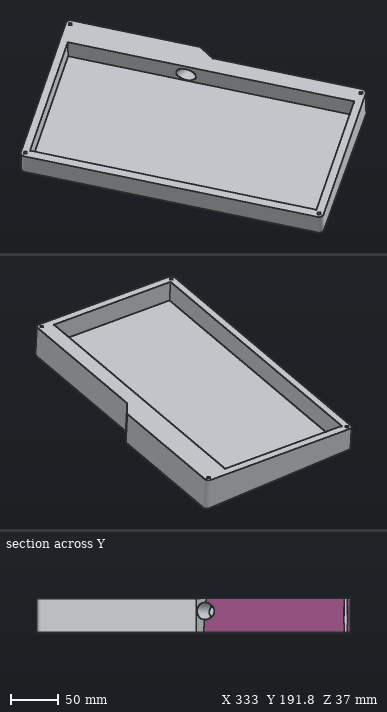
import cadquery as cq
import math

length = 333.0
overall_depth = 191.8
back_height = 37.0
tilt = 3.0

slope = math.radians(tilt)
face_depth = (overall_depth - back_height * math.tan(slope)) / math.cos(slope)
front_height = back_height - face_depth * math.sin(slope)
step_depth = 11.3
step_start = 147.0
step_end = 163.5
corner_radius = 5.0

rim = 9.0
pocket_width = 151.5
pocket_depth = 24.0

screw_diameter = 3.3
screw_inset = 5.0
back_screw_inset = 5.3
cable_diameter = 18.0
cable_depth = 13.5

top_plane = cq.Plane(
    origin=(0, 0, front_height),
    xDir=(1, 0, 0),
    normal=(0, -math.sin(slope), math.cos(slope)),
)
cut_length = 2 * back_height


def make_body():
    """Extrude the stepped outline square to the top face, then trim it flat at Z = 0."""
    shoulder = face_depth - step_depth
    outline = [
        (0, 0),
        (length, 0),
        (length, shoulder),
        (step_end, shoulder),
        (step_start, face_depth),
        (0, face_depth),
    ]
    upright_edges = cq.selectors.ParallelDirSelector(top_plane.zDir)
    block = cq.Workplane(top_plane).polyline(outline).close().extrude(-cut_length)
    for side in ("<X", ">X"):
        block = block.faces(side).edges(upright_edges).fillet(corner_radius)
    above_base = cq.Workplane("XY").rect(4 * length, 4 * length).extrude(2 * back_height)
    return block.intersect(above_base)


def make_pocket():
    pocket = cq.Workplane(top_plane).moveTo(rim, rim)
    return pocket.rect(length - 2 * rim, pocket_width, centered=False).extrude(-pocket_depth)


def make_screw_holes():
    left, right = screw_inset, length - screw_inset
    centers = [
        (left, screw_inset),
        (right, screw_inset),
        (left, face_depth - back_screw_inset),
        (right, face_depth - step_depth - back_screw_inset),
    ]
    return cq.Workplane(top_plane).pushPoints(centers).circle(screw_diameter / 2).extrude(-cut_length)


def make_cable_hole():
    """Round passage from the pocket, out square through the middle of the slanted step."""
    step_width = step_end - step_start
    step_length = math.hypot(step_width, step_depth)
    out_x = step_depth / step_length
    out_y = step_width / step_length
    exit_x = (step_start + step_end) / 2
    exit_y = face_depth - step_depth / 2
    reach = (exit_y - rim - pocket_width) / out_y
    margin = cable_diameter
    start_distance = reach + margin
    start = top_plane.toWorldCoords(
        (exit_x - start_distance * out_x, exit_y - start_distance * out_y, -cable_depth)
    )
    axis = top_plane.xDir * out_x + top_plane.yDir * out_y
    passage_plane = cq.Plane(origin=start, xDir=top_plane.zDir, normal=axis)
    return cq.Workplane(passage_plane).circle(cable_diameter / 2).extrude(start_distance + margin)


result = make_body().cut(make_pocket()).cut(make_screw_holes()).cut(make_cable_hole())